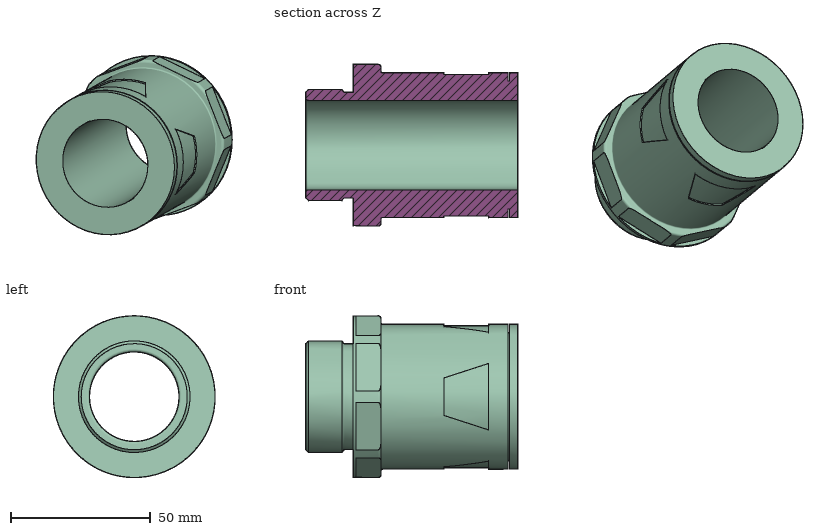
import cadquery as cq
import math


spigot_radius = 20.0
spigot_chamfer = 1.0
neck_radius = 19.0
neck_start = 14.0
shoulder_angle = 60.0
neck_fillet = 0.6

collar_radius = 29.0
collar_start = 17.0
collar_width = 10.0
collar_end = collar_start + collar_width
collar_edge_fillet = 1.0
collar_base_fillet = 0.5
flat_count = 8
flat_apothem = 27.5
flange_width = 1.0

total_length = 76.0
body_radius = 26.0
ring_width = 3.0
groove_width = 0.5
groove_radius = 23.0
ring_start = total_length - ring_width
groove_start = ring_start - groove_width

bore_radius = 16.0
bore_entry_fillet = 1.0

recess_count = 4
recess_start = 49.5
recess_length = 16.0
recess_end = recess_start + recess_length
recess_narrow_half = 6.7
recess_wide_half = 11.9
recess_depth = 0.5


def arc_point(center_x, center_r, radius, angle):
    """Point on an arc in the turning profile, at an angle in degrees."""
    turn = math.radians(angle)
    return (center_x + radius * math.cos(turn), center_r + radius * math.sin(turn))


def make_turned_body():
    """Revolve the half profile (X, radius) about the X axis."""
    edge_center = (collar_end - collar_edge_fillet, collar_radius - collar_edge_fillet)
    base_center = (collar_end + collar_base_fillet, body_radius + collar_base_fillet)
    neck_center = (neck_start, neck_radius + neck_fillet)
    shoulder_foot = arc_point(*neck_center, neck_fillet, 270 - shoulder_angle)
    shoulder_rise = spigot_radius - shoulder_foot[1]
    spigot_end = shoulder_foot[0] - shoulder_rise / math.tan(math.radians(shoulder_angle))
    entry_center = (bore_entry_fillet, bore_radius + bore_entry_fillet)
    profile = (
        cq.Workplane("XY")
        .moveTo(0, bore_radius + bore_entry_fillet)
        .lineTo(0, spigot_radius - spigot_chamfer)
        .lineTo(spigot_chamfer, spigot_radius)
        .lineTo(spigot_end, spigot_radius)
        .lineTo(*shoulder_foot)
        .threePointArc(
            arc_point(*neck_center, neck_fillet, 270 - shoulder_angle / 2),
            (neck_start, neck_radius),
        )
        .lineTo(collar_start, neck_radius)
        .lineTo(collar_start, collar_radius)
        .lineTo(edge_center[0], collar_radius)
        .threePointArc(arc_point(*edge_center, collar_edge_fillet, 45), (collar_end, edge_center[1]))
        .lineTo(collar_end, base_center[1])
        .threePointArc(arc_point(*base_center, collar_base_fillet, 225), (base_center[0], body_radius))
        .lineTo(groove_start, body_radius)
        .lineTo(groove_start, groove_radius)
        .lineTo(ring_start, groove_radius)
        .lineTo(ring_start, body_radius)
        .lineTo(total_length, body_radius)
        .lineTo(total_length, bore_radius)
        .lineTo(bore_entry_fillet, bore_radius)
        .threePointArc(arc_point(*entry_center, bore_entry_fillet, 225), (0, entry_center[1]))
        .close()
    )
    return profile.revolve(360, (0, 0, 0), (1, 0, 0))


def make_flat_cutter():
    """Material outside the octagon, behind the collar's round rim."""
    corner_diameter = 2 * flat_apothem / math.cos(math.pi / flat_count)
    outer_radius = 2 * collar_radius
    return (
        cq.Workplane("YZ", origin=(collar_start + flange_width, 0, 0))
        .circle(outer_radius)
        .polygon(flat_count, corner_diameter)
        .extrude(collar_width)
    )


def make_recess_cutter():
    """Trapezoidal block facing +Z, hollowed to leave a cylindrical floor."""
    block = (
        cq.Workplane("XY")
        .polyline([
            (recess_start, -recess_narrow_half),
            (recess_end, -recess_wide_half),
            (recess_end, recess_wide_half),
            (recess_start, recess_narrow_half),
        ])
        .close()
        .extrude(collar_radius)
    )
    core = cq.Workplane("YZ").circle(body_radius - recess_depth).extrude(total_length)
    return block.cut(core)


result = make_turned_body().cut(make_flat_cutter())

recess_cutter = make_recess_cutter()
for index in range(recess_count):
    angle = index * 360 / recess_count
    result = result.cut(recess_cutter.rotate((0, 0, 0), (1, 0, 0), angle))